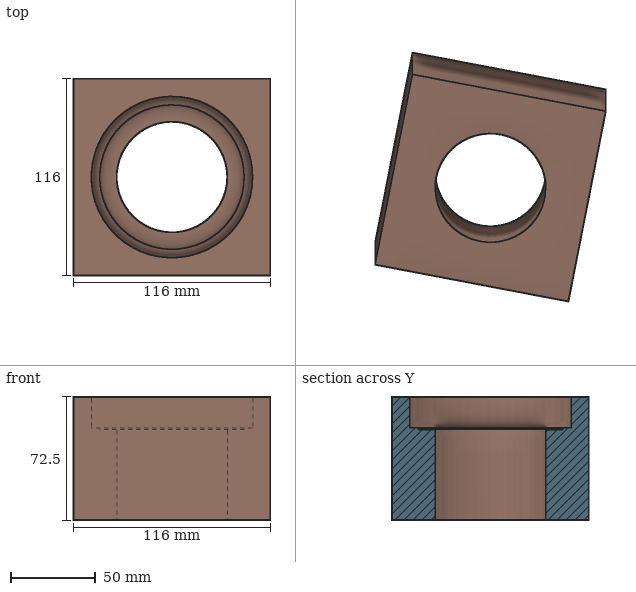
import cadquery as cq

side = 116.0
height = 72.5

pocket_diameter = 95.0
pocket_depth = 18.0
recess_diameter = 85.0
recess_depth = 1.0
bore_diameter = 65.0


def cylinder_down(diameter, top_z, depth):
    """Vertical cylinder on the block axis, extending down from top_z."""
    return cq.Workplane("XY").workplane(offset=top_z).circle(diameter / 2).extrude(-depth)


block = cq.Workplane("XY").box(side, side, height, centered=(True, True, False))

pocket_floor_z = height - pocket_depth
pocket = cylinder_down(pocket_diameter, height, pocket_depth)
recess = cylinder_down(recess_diameter, pocket_floor_z, recess_depth)
through_bore = cylinder_down(bore_diameter, height, height)

result = block.cut(pocket).cut(recess).cut(through_bore)